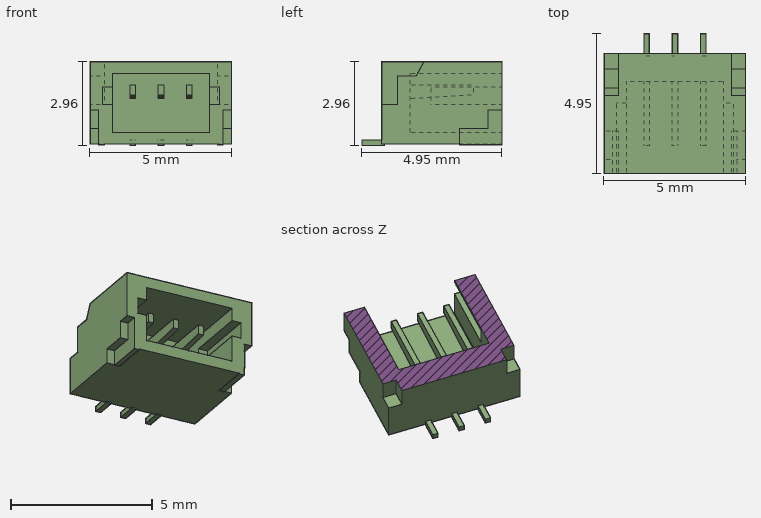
import cadquery as cq


body_width = 5.0
body_depth = 4.25
body_height = 2.91
half_width = body_width / 2

wall = 0.41
cavity_width = 3.42
cavity_depth = 3.25
cavity_height = body_height - 2 * wall

keyway_span = 4.13
keyway_depth = 2.5
keyway_height = 0.61
keyway_bottom = 1.40

rear_cut_width = 0.5
rear_cut_depth = 0.55
rear_cut_bottom = 1.40
rear_step_height = 2.40
rear_step_depth = 1.22
rear_top_depth = 1.49

tab_recess_width = 0.3
tab_thickness = 0.2
tab_drop = 0.03
tab_front_depth = 0.5
tab_front_height = 1.20
tab_foot_depth = 1.5
tab_foot_height = 0.55

pin_count = 3
pin_pitch = 1.0
pin_width = 0.2
pin_tip_y = 1.0
pin_top = 2.09
pin_tip_bottom = 1.74
pin_root_bottom = 1.61

leg_reach = 0.7
leg_overlap = 0.1
leg_drop = 0.05
leg_thickness = 0.2


def block(x_size, y_min, y_max, z_min, z_max, x_center=0.0):
    """Box centred on x_center that spans the given y and z ranges."""
    size_y = y_max - y_min
    size_z = z_max - z_min
    box = cq.Workplane("XY").box(x_size, size_y, size_z, centered=(True, False, False))
    return box.translate((x_center, y_min, z_min))


def side_plate(points, x_min, thickness):
    """Plate with a y-z outline, extending from x_min toward +X."""
    profile = cq.Workplane("YZ", origin=(x_min, 0, 0)).polyline(points).close()
    return profile.extrude(thickness)


def both_sides(shape):
    """The shape together with its mirror image across x = 0."""
    return shape.union(shape.mirror("YZ"))


def cavity():
    opening = block(cavity_width, 0, cavity_depth, wall, wall + cavity_height)
    keyways = block(keyway_span, 0, keyway_depth, keyway_bottom, keyway_bottom + keyway_height)
    return opening.union(keyways)


def rear_cutouts():
    outline = [
        (body_depth, rear_cut_bottom),
        (body_depth - rear_cut_depth, rear_cut_bottom),
        (body_depth - rear_cut_depth, rear_step_height),
        (body_depth - rear_step_depth, rear_step_height),
        (body_depth - rear_top_depth, body_height),
        (body_depth, body_height),
    ]
    return both_sides(side_plate(outline, half_width - rear_cut_width, rear_cut_width))


def tab_outline(bottom):
    """Stepped outline shared by the front recesses and the solder tabs."""
    return [
        (0, bottom),
        (tab_foot_depth, bottom),
        (tab_foot_depth, tab_foot_height),
        (tab_front_depth, tab_foot_height),
        (tab_front_depth, tab_front_height),
        (0, tab_front_height),
    ]


def tab_recesses():
    return both_sides(side_plate(tab_outline(0), half_width - tab_recess_width, tab_recess_width))


def solder_tabs():
    tab_x = half_width - tab_recess_width - tab_thickness
    return both_sides(side_plate(tab_outline(-tab_drop), tab_x, tab_thickness))


def contact(x):
    """Pin with a sloping underside in the cavity, and its solder leg at the rear."""
    pin_outline = [
        (pin_tip_y, pin_tip_bottom),
        (pin_tip_y, pin_top),
        (body_depth - leg_overlap, pin_top),
        (body_depth - leg_overlap, pin_root_bottom),
        (cavity_depth, pin_root_bottom),
    ]
    pin = side_plate(pin_outline, x - pin_width / 2, pin_width)
    leg = block(
        pin_width,
        body_depth - leg_overlap,
        body_depth + leg_reach,
        -leg_drop,
        leg_thickness - leg_drop,
        x,
    )
    return pin, leg


result = block(body_width, 0, body_depth, 0, body_height)
result = result.cut(cavity()).cut(rear_cutouts()).cut(tab_recesses()).union(solder_tabs())
for index in range(pin_count):
    pin_x = (index - (pin_count - 1) / 2) * pin_pitch
    for piece in contact(pin_x):
        result = result.union(piece)